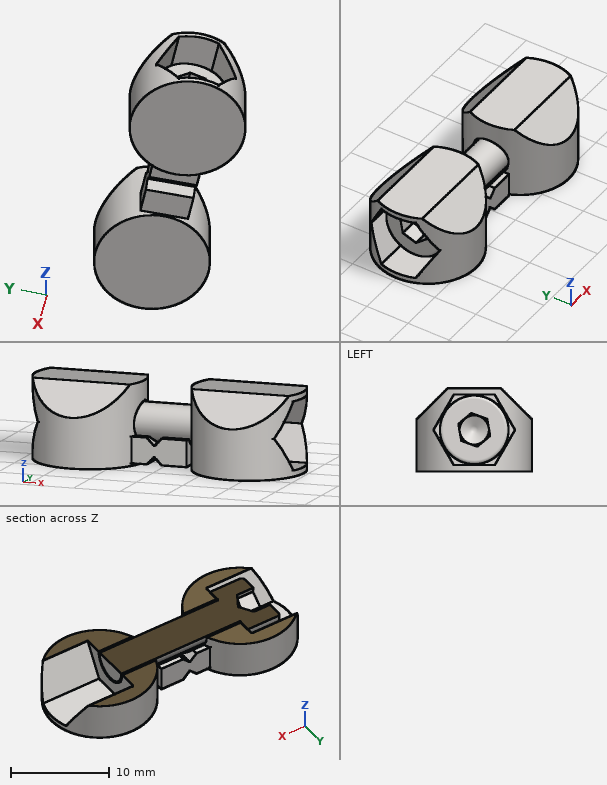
import cadquery as cq
import math

total_length = 29
post_diameter = 11.8
post_height = 8.5
top_flat_width = 5.4

pocket_across_flats = 7.2
pocket_depth = 7.22

head_diameter = 7.0
head_height = 4.0
head_fillet = 0.38
shank_diameter = 4.0
socket_across_flats = 3.0
socket_depth = 2.0
socket_point_angle = 118
socket_turn = 40

hole_diameter = 4.3

key_width = 4.95
key_length = 7.0
key_top = -1.2
key_height = 2.78
notch_depth = 0.8

post_radius = post_diameter / 2
post_offset = total_length / 2 - post_radius
post_gap = total_length - 2 * post_diameter
pocket_floor = total_length / 2 - pocket_depth
key_end = post_gap / 2
key_middle = key_end - key_length / 2
key_bottom = key_top - key_height


def hexagon_bar(across_flats, start, length):
    """Hexagon bar on the X axis with two corners pointing along Y; a negative length runs toward -X."""
    corner_diameter = across_flats / math.cos(math.pi / 6)
    return cq.Workplane("YZ", origin=(start, 0, 0)).polygon(6, corner_diameter).extrude(length)


def bar_along_x(diameter, start, length):
    """Round bar on the X axis."""
    return cq.Workplane("YZ", origin=(start, 0, 0)).circle(diameter / 2).extrude(length)


def make_post(side):
    """Round post on the -X (side = -1) or +X (side = 1) end, with a hexagon pocket facing outward."""
    chamfered_profile = (
        cq.Workplane("YZ", origin=(-post_radius, 0, 0))
        .rect(post_diameter, post_height)
        .extrude(post_diameter)
        .edges("|X and >Z")
        .chamfer((post_diameter - top_flat_width) / 2)
    )
    post = (
        cq.Workplane("XY", origin=(0, 0, -post_height / 2))
        .circle(post_radius)
        .extrude(post_height)
        .intersect(chamfered_profile)
        .translate((side * post_offset, 0, 0))
    )
    pocket = hexagon_bar(pocket_across_flats, side * pocket_floor, side * pocket_depth)
    bolt_hole = bar_along_x(hole_diameter, -pocket_floor, 2 * pocket_floor)
    return post.cut(pocket).cut(bolt_hole)


def make_bolt():
    """Socket head bolt: head seated in the -X pocket, shank flush with the +X pocket floor."""
    head_face = -pocket_floor - head_height
    head = bar_along_x(head_diameter, head_face, head_height).faces("<X").edges().fillet(head_fillet)
    shank = bar_along_x(shank_diameter, -pocket_floor, 2 * pocket_floor)
    socket = hexagon_bar(socket_across_flats, head_face, socket_depth)
    socket = socket.rotate((0, 0, 0), (1, 0, 0), -socket_turn)
    socket_radius = socket_across_flats / 2
    point_length = socket_radius / math.tan(math.radians(socket_point_angle / 2))
    socket_point = cq.Workplane(
        cq.Solid.makeCone(
            socket_radius,
            0,
            point_length,
            pnt=cq.Vector(head_face + socket_depth, 0, 0),
            dir=cq.Vector(1, 0, 0),
        )
    )
    return head.union(shank).cut(socket).cut(socket_point)


def make_key():
    """Bar under the shank, hollowed to clear it, with a V notch across its top and bottom."""
    key = cq.Workplane("XY", origin=(key_middle, 0, key_bottom)).box(
        key_length, key_width, key_height, centered=(True, True, False)
    )
    for edge_height in (key_top, key_bottom):
        notch = (
            cq.Workplane("XZ", origin=(key_middle, 0, edge_height))
            .polygon(4, 2 * notch_depth)
            .extrude(key_width / 2, both=True)
        )
        key = key.cut(notch)
    saddle = bar_along_x(hole_diameter, key_end - key_length, key_length)
    return key.cut(saddle)


key = make_key()
posts = [make_post(side).cut(key) for side in (-1, 1)]
bolt = make_bolt()

result = cq.Compound.makeCompound([*(post.val() for post in posts), bolt.val(), key.val()])